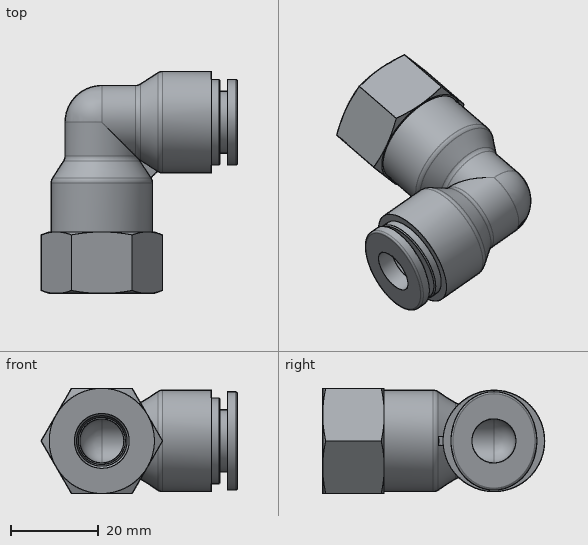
import cadquery as cq
import math


arm_diameter = 16.8
shoulder_diameter = 23.2
arm_length = 25.0
cone_start = 8.3
cone_end = 13.25
cone_blend = 2.0
bore_diameter = 10.0
web_thickness = 2.0
web_far = 12.65
web_near = 11.25

nut_across_flats = 24.0
nut_length = 14.0
nut_chamfer_angle = 20
thread_start_diameter = 11.55
thread_end_diameter = 10.75
mouth_diameter = 12.5
mouth_chamfer_depth = 0.75

collar_diameter = 19.6
collar_length = 1.95
collar_chamfer = 0.3

neck_diameter = 14.2
neck_length = 1.65
flange_width = 19.6
flange_height = 22.4
flange_thickness = 2.3
flange_fillet = 0.45

arm_radius = arm_diameter / 2
shoulder_radius = shoulder_diameter / 2
nut_flat_radius = nut_across_flats / 2
bore_radius = bore_diameter / 2
nut_corner_radius = nut_across_flats / math.sqrt(3)
nut_end = arm_length + nut_length
collar_end = arm_length + collar_length
neck_end = collar_end + neck_length


def rod_x(diameter, start, length):
    """Solid cylinder along X."""
    return cq.Workplane("YZ", origin=(start, 0, 0)).circle(diameter / 2).extrude(length)


def onto_y_arm(shape):
    """Turn a shape built along +X so that it lies along -Y."""
    return shape.rotate((0, 0, 0), (0, 0, 1), -90)


def arm():
    """One stepped arm along +X: narrow pipe, blended cone and wide shoulder."""
    half_angle = math.atan2(shoulder_radius - arm_radius, cone_end - cone_start) / 2
    tangent = cone_blend * math.tan(half_angle)
    run = tangent * math.cos(2 * half_angle)
    rise = tangent * math.sin(2 * half_angle)
    sag = cone_blend * (1 - math.cos(half_angle))
    mid = cone_blend * math.sin(half_angle)
    profile = (
        cq.Workplane("XY")
        .lineTo(0, arm_radius)
        .lineTo(cone_start - tangent, arm_radius)
        .threePointArc(
            (cone_start - tangent + mid, arm_radius + sag),
            (cone_start + run, arm_radius + rise),
        )
        .lineTo(cone_end - run, shoulder_radius - rise)
        .threePointArc(
            (cone_end + tangent - mid, shoulder_radius - sag),
            (cone_end + tangent, shoulder_radius),
        )
        .lineTo(arm_length, shoulder_radius)
        .lineTo(arm_length, 0)
        .close()
    )
    return profile.revolve(360, (0, 0, 0), (1, 0, 0))


def corner_web():
    """Thin plate that fills the inner corner between the two cones."""
    return (
        cq.Workplane("XY", origin=(0, 0, -web_thickness / 2))
        .polyline([(0, 0), (web_far, -web_near), (web_near, -web_far)])
        .close()
        .extrude(web_thickness)
    )


def make_elbow():
    """Two arms joined by a ball at the corner, with a bore that turns inside it."""
    body = arm().union(onto_y_arm(arm()))
    body = body.union(cq.Workplane("XY").sphere(arm_radius)).union(corner_web())
    passage = rod_x(bore_diameter, 0, arm_length)
    passage = passage.union(onto_y_arm(passage))
    return body.cut(passage.union(cq.Workplane("XY").sphere(bore_radius)))


def make_nut():
    """Hexagon with chamfered corners and a tapered through hole, at the end of the -Y arm."""
    blank = (
        cq.Workplane("YZ", origin=(arm_length, 0, 0))
        .polygon(6, 2 * nut_corner_radius)
        .extrude(nut_length)
    )
    drop = (nut_corner_radius - nut_flat_radius) * math.tan(math.radians(nut_chamfer_angle))
    corner_envelope = (
        cq.Workplane("XY")
        .polyline([
            (arm_length, 0),
            (arm_length, nut_flat_radius),
            (arm_length + drop, nut_corner_radius),
            (nut_end - drop, nut_corner_radius),
            (nut_end, nut_flat_radius),
            (nut_end, 0),
        ])
        .close()
        .revolve(360, (0, 0, 0), (1, 0, 0))
    )
    hole = (
        cq.Workplane("XY")
        .polyline([
            (arm_length, 0),
            (arm_length, thread_end_diameter / 2),
            (nut_end - mouth_chamfer_depth, thread_start_diameter / 2),
            (nut_end, mouth_diameter / 2),
            (nut_end, 0),
        ])
        .close()
        .revolve(360, (0, 0, 0), (1, 0, 0))
    )
    return onto_y_arm(blank.intersect(corner_envelope).cut(hole))


def make_collar():
    """Ring on the end face of the +X arm."""
    ring = rod_x(collar_diameter, arm_length, collar_length).faces(">X").edges().chamfer(collar_chamfer)
    return ring.cut(rod_x(bore_diameter, arm_length, collar_length))


def make_release_ring():
    """Round neck with an oval flange, on the outer face of the collar."""
    flange = (
        cq.Workplane("YZ", origin=(neck_end, 0, 0))
        .ellipse(flange_width / 2, flange_height / 2)
        .extrude(flange_thickness)
        .faces(">X")
        .edges()
        .fillet(flange_fillet)
    )
    ring = flange.union(rod_x(neck_diameter, collar_end, neck_length))
    return ring.cut(rod_x(bore_diameter, collar_end, neck_length + flange_thickness))


elbow = make_elbow()
nut = make_nut()
collar = make_collar()
release_ring = make_release_ring()

result = cq.Compound.makeCompound([elbow.val(), nut.val(), collar.val(), release_ring.val()])